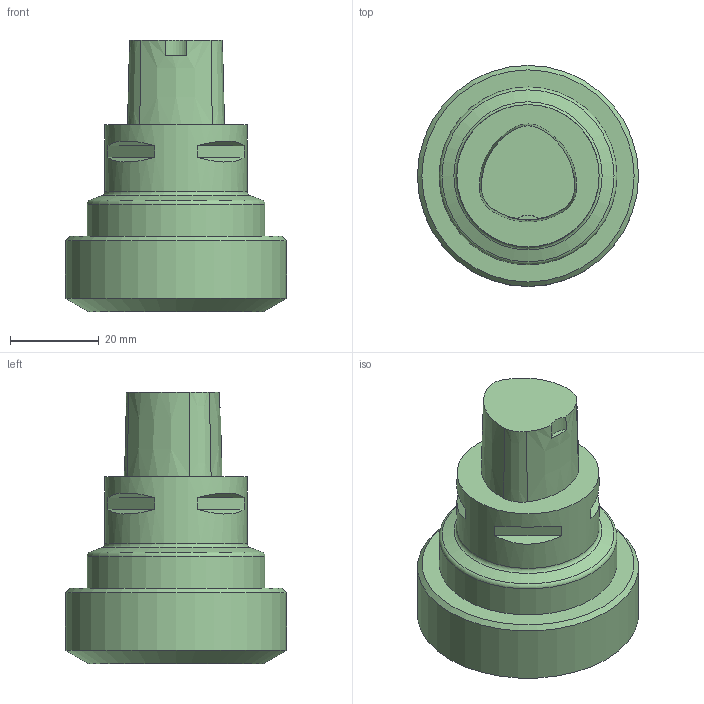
import cadquery as cq
import math

FLANGE_RADIUS = 49.7 / 2
FLANGE_BOTTOM_HEIGHT = 3.0
FLANGE_BOTTOM_ANGLE = 30.0
FLANGE_TOP = 17.0
FLANGE_CHAMFER = 1.0
COLLAR_RADIUS = 40.0 / 2
SHANK_RADIUS = 32.0 / 2
SHOULDER_TOP = 26.3
SHOULDER_ANGLE = 20.0
SHOULDER_FILLET = 1.0
SHANK_TOP = 42.0
TOTAL_HEIGHT = 61.0

GROOVE_COUNT = 4
GROOVE_HEIGHT = 36.0
GROOVE_FLOOR_WIDTH = 2.6
GROOVE_FLOOR_DISTANCE = 14.15
GROOVE_FLANK_ANGLE = 30.0
GROOVE_OVERSHOOT = 1.0

POLYGON_TIP_DISTANCE = 11.65
POLYGON_FLANK_DISTANCE = 10.35
POLYGON_CORNER_RADIUS = 6.2
POLYGON_TAPER = 1 / 20
POLYGON_CORNER_ANGLES = (90, 210, 330)

KEYWAY_DEPTH = 3.45
KEYWAY_RADIUS = 3.8
KEYWAY_BOTTOM_DISTANCE = 8.87


def rise_over(run, angle):
    """Rise for a given run at an angle in degrees."""
    return run * math.tan(math.radians(angle))


def polar(radius, angle):
    """Point at a radius and an angle in degrees."""
    return radius * math.cos(math.radians(angle)), radius * math.sin(math.radians(angle))


def shoulder_fillet(radius, height, side):
    """Cylinder end, middle and cone end of the fillet between the cone and a cylinder.

    side is +1 for the concave fillet above the cone, -1 for the convex one below it.
    """
    fillet = side * SHOULDER_FILLET
    center_radius = radius + fillet
    center_height = height + rise_over(fillet, (90 - SHOULDER_ANGLE) / 2)

    def on_fillet(angle):
        x, y = polar(fillet, angle)
        return center_radius + x, center_height + y

    cylinder_angle = 180
    cone_angle = 270 - SHOULDER_ANGLE
    return on_fillet(cylinder_angle), on_fillet((cylinder_angle + cone_angle) / 2), on_fillet(cone_angle)


def turned_body():
    """Flange, collar, conical shoulder and shank as one revolved profile."""
    bottom_radius = FLANGE_RADIUS - rise_over(FLANGE_BOTTOM_HEIGHT, 90 - FLANGE_BOTTOM_ANGLE)
    shoulder_bottom = SHOULDER_TOP - rise_over(COLLAR_RADIUS - SHANK_RADIUS, SHOULDER_ANGLE)
    collar_end, collar_mid, cone_start = shoulder_fillet(COLLAR_RADIUS, shoulder_bottom, -1)
    shank_start, shank_mid, cone_end = shoulder_fillet(SHANK_RADIUS, SHOULDER_TOP, 1)
    profile = (
        cq.Workplane("XZ")
        .moveTo(0, 0)
        .lineTo(bottom_radius, 0)
        .lineTo(FLANGE_RADIUS, FLANGE_BOTTOM_HEIGHT)
        .lineTo(FLANGE_RADIUS, FLANGE_TOP - FLANGE_CHAMFER)
        .lineTo(FLANGE_RADIUS - FLANGE_CHAMFER, FLANGE_TOP)
        .lineTo(COLLAR_RADIUS, FLANGE_TOP)
        .lineTo(*collar_end)
        .threePointArc(collar_mid, cone_start)
        .lineTo(*cone_end)
        .threePointArc(shank_mid, shank_start)
        .lineTo(SHANK_RADIUS, SHANK_TOP)
        .lineTo(0, SHANK_TOP)
        .close()
    )
    return profile.revolve(360, (0, 0, 0), (0, 1, 0))


def polygon_section(workplane, shrink):
    """Rounded triangle of six tangent arcs, moved inwards by shrink."""
    corner_distance = POLYGON_TIP_DISTANCE - POLYGON_CORNER_RADIUS
    across, along = polar(corner_distance, 30)
    inset = along - POLYGON_FLANK_DISTANCE
    flank_radius = (POLYGON_CORNER_RADIUS**2 - across**2 - inset**2) / (2 * (inset + POLYGON_CORNER_RADIUS))
    flank_half_angle = math.degrees(math.asin(across / (flank_radius - POLYGON_CORNER_RADIUS)))
    corner_half_angle = 60 - flank_half_angle

    def on_corner(corner, turn):
        center_x, center_y = polar(corner_distance, corner)
        x, y = polar(POLYGON_CORNER_RADIUS - shrink, corner + turn)
        return center_x + x, center_y + y

    section = workplane.moveTo(*on_corner(POLYGON_CORNER_ANGLES[0], -corner_half_angle))
    for corner in POLYGON_CORNER_ANGLES:
        section = section.threePointArc(on_corner(corner, 0), on_corner(corner, corner_half_angle))
        flank_middle = polar(POLYGON_FLANK_DISTANCE - shrink, corner + 60)
        section = section.threePointArc(flank_middle, on_corner(corner + 120, -corner_half_angle))
    return section.close()


def polygon_taper():
    """Polygon shank lofted from its base to its smaller top."""
    height = TOTAL_HEIGHT - SHANK_TOP
    base = polygon_section(cq.Workplane("XY").workplane(offset=SHANK_TOP), 0)
    top = polygon_section(base.workplane(offset=height), height * POLYGON_TAPER / 2)
    return top.loft(ruled=True, combine=True)


def gripper_groove():
    """Straight trapezoidal groove across the +X side of the shank."""
    outer_distance = SHANK_RADIUS + GROOVE_OVERSHOOT
    floor_half = GROOVE_FLOOR_WIDTH / 2
    outer_half = floor_half + rise_over(outer_distance - GROOVE_FLOOR_DISTANCE, GROOVE_FLANK_ANGLE)
    return (
        cq.Workplane("XZ")
        .moveTo(GROOVE_FLOOR_DISTANCE, GROOVE_HEIGHT - floor_half)
        .lineTo(outer_distance, GROOVE_HEIGHT - outer_half)
        .lineTo(outer_distance, GROOVE_HEIGHT + outer_half)
        .lineTo(GROOVE_FLOOR_DISTANCE, GROOVE_HEIGHT + floor_half)
        .close()
        .extrude(SHANK_RADIUS, both=True)
    )


def keyway():
    """Vertical round cutter on the -Y flank of the polygon."""
    return (
        cq.Workplane("XY")
        .workplane(offset=TOTAL_HEIGHT - KEYWAY_DEPTH)
        .center(0, -KEYWAY_BOTTOM_DISTANCE - KEYWAY_RADIUS)
        .circle(KEYWAY_RADIUS)
        .extrude(KEYWAY_DEPTH)
    )


result = turned_body().union(polygon_taper()).cut(keyway())
for index in range(GROOVE_COUNT):
    groove_angle = (index + 0.5) * 360 / GROOVE_COUNT
    result = result.cut(gripper_groove().rotate((0, 0, 0), (0, 0, 1), groove_angle))